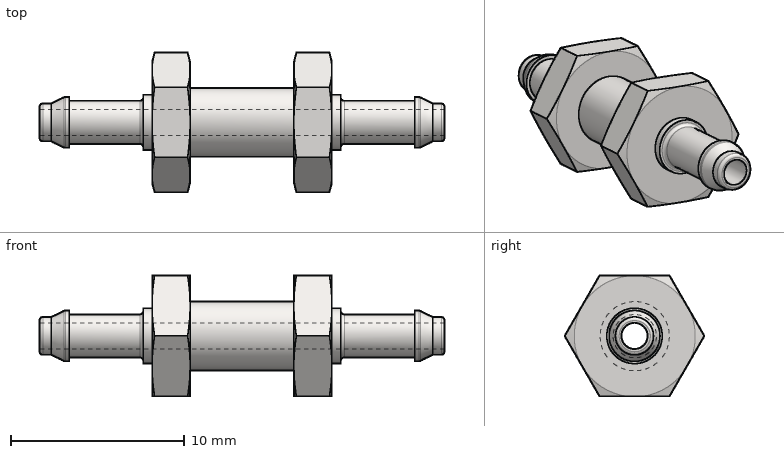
import cadquery as cq
import math

length = 23.4
half_length = length / 2
bore_diameter = 1.5

hex_across_flats = 7.0
hex_across_corners = hex_across_flats / math.cos(math.pi / 6)
flange_thickness = 2.2
flange_outer_x = 5.2
flange_inner_x = flange_outer_x - flange_thickness
hex_chamfer_angle = math.radians(15)

shaft_diameter = 4.0
collar_diameter = 3.2
collar_length = 0.51
stem_diameter = 2.5
barb_diameter = 2.95
barb_back_to_end = 1.73
barb_land_length = 0.28
tip_diameter = 2.2
tip_length = 0.68
edge_radius = 0.2

ARC_MIDPOINT = math.sqrt(0.5)


def make_stem():
    """Revolved collar, hose stem and barb on the +X side."""
    stem_r = stem_diameter / 2
    tip_r = tip_diameter / 2
    barb_r = barb_diameter / 2
    collar_r = collar_diameter / 2
    collar_x = flange_outer_x + collar_length
    barb_back_x = half_length - barb_back_to_end
    barb_crest_x = barb_back_x + barb_land_length
    tip_x = half_length - tip_length

    cone_angle = math.atan2(barb_r - tip_r, tip_x - barb_crest_x)
    tangent = edge_radius * math.tan(cone_angle / 2)
    round_start_x = barb_crest_x - tangent
    round_center_r = barb_r - edge_radius

    def on_crest(angle):
        return (round_start_x + edge_radius * math.sin(angle),
                round_center_r + edge_radius * math.cos(angle))

    root_x = collar_x + edge_radius
    root_r = stem_r + edge_radius
    root_middle = (root_x - edge_radius * ARC_MIDPOINT, root_r - edge_radius * ARC_MIDPOINT)
    tip_round_x = half_length - edge_radius
    tip_round_r = tip_r - edge_radius
    tip_middle = (tip_round_x + edge_radius * ARC_MIDPOINT, tip_round_r + edge_radius * ARC_MIDPOINT)

    profile = (
        cq.Workplane("XY")
        .moveTo(flange_inner_x, 0)
        .lineTo(flange_inner_x, collar_r)
        .lineTo(collar_x, collar_r)
        .lineTo(collar_x, root_r)
        .threePointArc(root_middle, (root_x, stem_r))
        .lineTo(barb_back_x, stem_r)
        .lineTo(barb_back_x, barb_r)
        .lineTo(round_start_x, barb_r)
        .threePointArc(on_crest(cone_angle / 2), on_crest(cone_angle))
        .lineTo(tip_x, tip_r)
        .lineTo(tip_round_x, tip_r)
        .threePointArc(tip_middle, (half_length, tip_round_r))
        .lineTo(half_length, 0)
        .close()
    )
    return profile.revolve(360, (0, 0), (1, 0))


def make_flange():
    """Hexagon on the +X side with conically chamfered corners on both faces."""
    hexagon = (
        cq.Workplane("YZ", origin=(flange_inner_x, 0, 0))
        .polygon(6, hex_across_corners)
        .extrude(flange_thickness)
    )
    face_r = hex_across_flats / 2
    middle_x = (flange_inner_x + flange_outer_x) / 2
    peak_r = face_r + flange_thickness / 2 / math.tan(hex_chamfer_angle)
    chamfer_envelope = (
        cq.Workplane("XY")
        .polyline([
            (flange_inner_x, 0),
            (flange_inner_x, face_r),
            (middle_x, peak_r),
            (flange_outer_x, face_r),
            (flange_outer_x, 0),
        ])
        .close()
        .revolve(360, (0, 0), (1, 0))
    )
    return hexagon.intersect(chamfer_envelope)


def x_cylinder(diameter, cylinder_length):
    """Cylinder along X, centered on the origin."""
    start = (-cylinder_length / 2, 0, 0)
    return cq.Workplane("YZ", origin=start).circle(diameter / 2).extrude(cylinder_length)


end_piece = make_stem().union(make_flange())
shaft = x_cylinder(shaft_diameter, 2 * flange_inner_x)
solid_part = shaft.union(end_piece).union(end_piece.mirror("YZ"))
result = solid_part.cut(x_cylinder(bore_diameter, length))